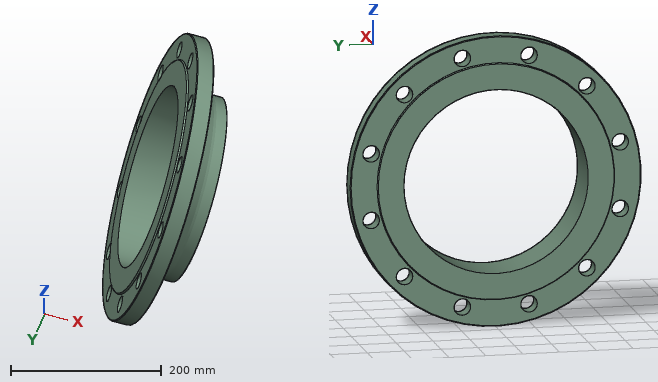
import cadquery as cq

TOTAL_LENGTH = 68.0
FLANGE_DIAMETER = 395.0
FLANGE_BACK_X = 26.0
RIM_CHAMFER = 1.0

FACE_DIAMETER = 320.0
FACE_ROOT_DIAMETER = 322.5
FACE_HEIGHT = 2.5

BORE_DIAMETER = 250.0
NECK_DIAMETER = 254.0
NECK_START_X = 51.5
HUB_BASE_DIAMETER = 275.0
HUB_FILLET = 10.0

BOLT_COUNT = 12
BOLT_CIRCLE_DIAMETER = 350.0
BOLT_HOLE_DIAMETER = 22.0
FIRST_BOLT_ANGLE = 180 / BOLT_COUNT


def ring_edge(x, diameter):
    """Selector for the circular edge of the given diameter at position x."""
    margin = 0.2
    radius = diameter / 2
    return cq.selectors.BoxSelector(
        (x - margin, -radius - margin, -radius - margin),
        (x + margin, radius + margin, radius + margin),
        boundingbox=True,
    )


def make_flange_plate():
    """Bolting disc with chamfered rims."""
    return (
        cq.Workplane("YZ")
        .workplane(offset=FACE_HEIGHT)
        .circle(FLANGE_DIAMETER / 2)
        .extrude(FLANGE_BACK_X - FACE_HEIGHT)
        .edges()
        .chamfer(RIM_CHAMFER)
    )


def make_raised_face():
    """Low sealing disc with a conical rim widening towards the plate."""
    return (
        cq.Workplane("YZ")
        .circle(FACE_DIAMETER / 2)
        .workplane(offset=FACE_HEIGHT)
        .circle(FACE_ROOT_DIAMETER / 2)
        .loft(ruled=True)
    )


def make_hub():
    """Conical hub running into the cylindrical weld neck."""
    return (
        cq.Workplane("XY")
        .moveTo(FLANGE_BACK_X, 0)
        .lineTo(FLANGE_BACK_X, HUB_BASE_DIAMETER / 2)
        .lineTo(NECK_START_X, NECK_DIAMETER / 2)
        .lineTo(TOTAL_LENGTH, NECK_DIAMETER / 2)
        .lineTo(TOTAL_LENGTH, 0)
        .close()
        .revolve(360, (0, 0, 0), (1, 0, 0))
    )


def make_bolt_holes():
    """Cutters for the evenly spaced bolt holes, straddling the Y and Z axes."""
    return (
        cq.Workplane("YZ")
        .polarArray(BOLT_CIRCLE_DIAMETER / 2, FIRST_BOLT_ANGLE, 360, BOLT_COUNT)
        .circle(BOLT_HOLE_DIAMETER / 2)
        .extrude(TOTAL_LENGTH)
    )


body = make_flange_plate().union(make_raised_face()).union(make_hub())

body = body.edges(ring_edge(FLANGE_BACK_X, HUB_BASE_DIAMETER)).fillet(HUB_FILLET)
body = body.edges(ring_edge(NECK_START_X, NECK_DIAMETER)).fillet(HUB_FILLET)

bore = cq.Workplane("YZ").circle(BORE_DIAMETER / 2).extrude(TOTAL_LENGTH)
result = body.cut(bore).cut(make_bolt_holes())